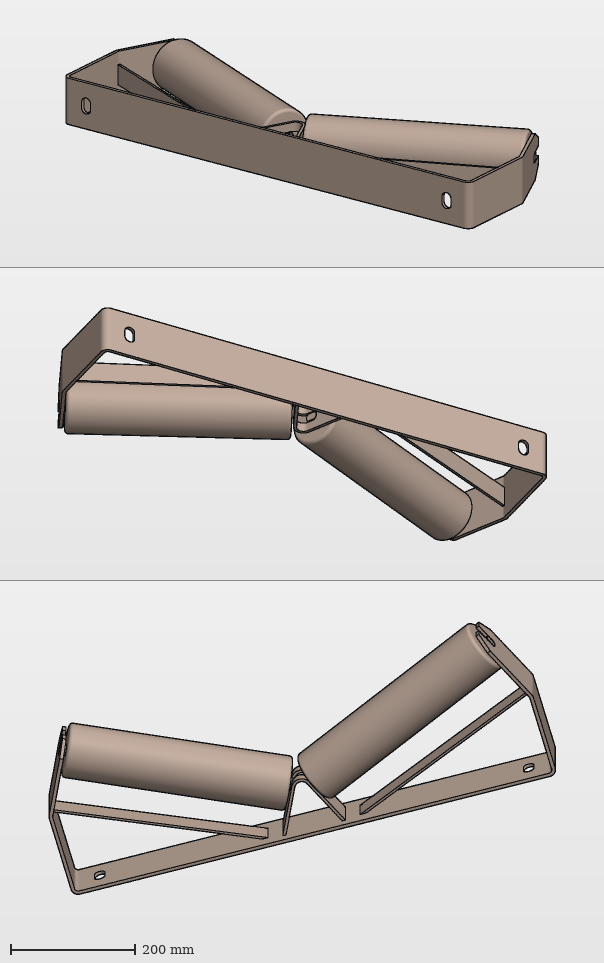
import cadquery as cq
import math

frame_length = 810.0
frame_height = 80.0
frame_thickness = 6.0
wall_height = 146.0
wing_length = 134.5
base_bend_radius = 12.0
wing_bend_radius = 12.0
wing_tip_height = 45.0
wing_taper_length = 28.0
tilt = 25.0

mount_slot_width = 18.0
mount_slot_height = 27.5
mount_slot_offset = 359.0

roller_diameter = 89.0
roller_length = 364.5
roller_fillet = 6.0
wing_gap = 4.0
bracket_gap = 4.0
roller_axis_position = 104.5
shaft_diameter = 19.5
shaft_flat_width = 13.0
shaft_slot_width = 17.0
shaft_slot_depth = 10.5

bracket_height = 49.0
bracket_thickness = 5.0
bracket_bend_radius = 16.0

strut_height = 35.0
strut_thickness = 4.0
strut_end = 77.0
strut_tilt = 23.7

tilt_rad = math.radians(tilt)
half_length = frame_length / 2
wing_direction = (math.sin(tilt_rad), math.cos(tilt_rad))
axis_direction = (math.cos(tilt_rad), -math.sin(tilt_rad))
wing_corner = (-half_length, wall_height)
corner_setback = frame_thickness * math.tan(tilt_rad / 2)
bracket_distance = frame_thickness + wing_gap + roller_length + bracket_gap


def from_wing_corner(along_wing, along_axis):
    """XY point at given distances from the outer wing corner."""
    return tuple(
        corner + along_wing * wing + along_axis * axis
        for corner, wing, axis in zip(wing_corner, wing_direction, axis_direction)
    )


def mirrored(points):
    """The points continued by their mirror images in reverse order."""
    return points + [(-x, y) for x, y in reversed(points)]


def both_sides(body):
    """The body of the -X half followed by its mirror image."""
    return [body, body.mirror("YZ")]


def extruded(points, height):
    """Prism on an XY outline, centred on Z = 0."""
    return cq.Workplane("XY").polyline(points).close().extrude(height / 2, both=True)


def rounded_at(body, point, radius):
    """The body with its Z edge through the XY point rounded."""
    return body.edges("|Z").edges(cq.NearestToPointSelector((*point, 0))).fillet(radius)


def wing_plane(along_axis):
    """Plane parallel to the wing, with local X along the wing and its normal along the roller axis."""
    return cq.Plane(
        origin=(*from_wing_corner(0, along_axis), 0),
        xDir=(*wing_direction, 0),
        normal=(*axis_direction, 0),
    )


def make_shaft_slot_cutter(along_axis, depth):
    """Cutter for a round-ended slot that runs from the shaft out past the wing tip."""
    radius = shaft_slot_width / 2
    center = roller_axis_position - shaft_slot_depth + radius
    return (
        cq.Workplane(wing_plane(along_axis))
        .moveTo(wing_length, radius)
        .lineTo(center, radius)
        .threePointArc((center - radius, 0), (center, -radius))
        .lineTo(wing_length, -radius)
        .close()
        .extrude(depth)
    )


def make_wing_taper_cutter(side):
    """Wedge that bevels the upper (side 1) or lower (side -1) corner of the wing tip."""
    edge = side * frame_height / 2
    wedge = [
        (wing_length - wing_taper_length, edge),
        (wing_length, edge),
        (wing_length, side * wing_tip_height / 2),
    ]
    return cq.Workplane(wing_plane(0)).polyline(wedge).close().extrude(frame_thickness)


def make_frame():
    inner_x = half_length - frame_thickness
    outer = [from_wing_corner(wing_length, 0), wing_corner, (-half_length, 0)]
    inner_corner = (-inner_x, wall_height - corner_setback)
    inner = [from_wing_corner(wing_length, frame_thickness), inner_corner, (-inner_x, frame_thickness)]
    frame = extruded(mirrored(outer) + mirrored(inner)[::-1], frame_height)
    for side in (-1, 1):
        for (x, y), radius in (
            (outer[2], base_bend_radius),
            (inner[2], base_bend_radius - frame_thickness),
            (outer[1], wing_bend_radius),
            (inner[1], wing_bend_radius - frame_thickness),
        ):
            frame = rounded_at(frame, (-side * x, y), radius)
    wing_end_cutters = [
        make_shaft_slot_cutter(0, frame_thickness),
        make_wing_taper_cutter(1),
        make_wing_taper_cutter(-1),
    ]
    for wing_end_cutter in wing_end_cutters:
        for cutter in both_sides(wing_end_cutter):
            frame = frame.cut(cutter)
    mount_slots = (
        cq.Workplane("XZ").pushPoints([(-mount_slot_offset, 0), (mount_slot_offset, 0)])
        .slot2D(mount_slot_height, mount_slot_width, 90).extrude(-frame_thickness)
    )
    return frame.cut(mount_slots)


def make_bracket():
    leg_start = from_wing_corner(0, bracket_distance)
    slope = math.tan(tilt_rad)
    ridge = (0, leg_start[1] - leg_start[0] / slope)
    inner_ridge = (0, ridge[1] - bracket_thickness / math.sin(tilt_rad))
    outer_foot = (-(ridge[1] - frame_thickness) * slope, frame_thickness)
    inner_foot = (-(inner_ridge[1] - frame_thickness) * slope, frame_thickness)
    bracket = extruded(
        [outer_foot, ridge, (-outer_foot[0], frame_thickness),
         (-inner_foot[0], frame_thickness), inner_ridge, inner_foot],
        bracket_height,
    )
    bracket = rounded_at(bracket, ridge, bracket_bend_radius)
    bracket = rounded_at(bracket, inner_ridge, bracket_bend_radius - bracket_thickness)
    axis_at_leg = from_wing_corner(roller_axis_position, bracket_distance)
    slot = make_shaft_slot_cutter(bracket_distance, -axis_at_leg[0] / math.cos(tilt_rad))
    for cutter in both_sides(slot):
        bracket = bracket.cut(cutter)
    return bracket


def roller_disc(start, diameter, length):
    """Cylinder on the roller axis, from a distance behind the outer wing face."""
    sheet = cq.Workplane(wing_plane(start)).center(roller_axis_position, 0)
    return sheet.circle(diameter / 2).extrude(length)


def make_roller():
    """Drum and round shaft, with two flats where the shaft passes through wing and bracket."""
    drum_start = frame_thickness + wing_gap
    drum = roller_disc(drum_start, roller_diameter, roller_length).edges().fillet(roller_fillet)
    shaft = roller_disc(frame_thickness, shaft_diameter, bracket_distance - frame_thickness)
    roller = drum.union(shaft)
    for start, length in ((0, frame_thickness), (bracket_distance, bracket_thickness)):
        flats = (
            cq.Workplane(wing_plane(start)).center(roller_axis_position, 0)
            .rect(shaft_diameter, shaft_flat_width).extrude(length)
        )
        roller = roller.union(roller_disc(start, shaft_diameter, length).intersect(flats))
    return roller


def make_strut(frame):
    """Sloping bar from base to side wall, trimmed to the bend where it meets the wing."""
    wall_x = frame_thickness - half_length
    slope = math.tan(math.radians(strut_tilt))
    drop = strut_thickness / math.cos(math.radians(strut_tilt))
    top = frame_thickness + (-strut_end - wall_x) * slope
    bar = extruded(
        [(-strut_end, frame_thickness), (wall_x, top), (wall_x, top - drop),
         (-strut_end - drop / slope, frame_thickness)],
        strut_height,
    )
    return bar.cut(frame)


frame = make_frame()
bracket = make_bracket()
rollers = both_sides(make_roller())
struts = both_sides(make_strut(frame))

result = cq.Compound.makeCompound(
    [frame.val(), bracket.val()] + [body.val() for body in rollers + struts]
)